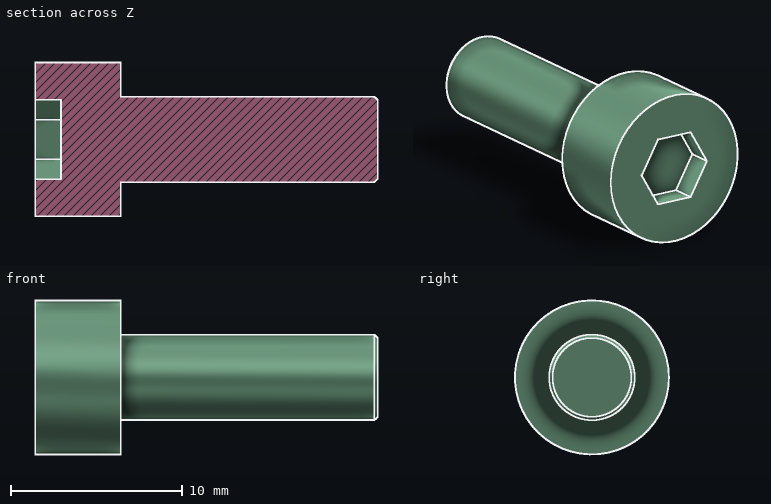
import cadquery as cq
import math

head_diameter = 9.0
head_length = 5.0
shank_diameter = 5.0
shank_length = 15.0
tip_chamfer = 0.2
socket_across_flats = 4.0
socket_depth = 1.5


def make_body():
    """Head, shank and tip chamfer as one profile turned about the X axis."""
    head_radius = head_diameter / 2
    shank_radius = shank_diameter / 2
    profile = (
        cq.Workplane("XY")
        .moveTo(-head_length, 0)
        .lineTo(-head_length, head_radius)
        .lineTo(0, head_radius)
        .lineTo(0, shank_radius)
        .lineTo(shank_length - tip_chamfer, shank_radius)
        .lineTo(shank_length, shank_radius - tip_chamfer)
        .lineTo(shank_length, 0)
        .close()
    )
    return profile.revolve(360, (0, 0, 0), (1, 0, 0))


def make_socket():
    """Hexagonal drive socket, with corners on the Y axis and flats facing up and down."""
    across_corners = socket_across_flats / math.cos(math.pi / 6)
    return (
        cq.Workplane("YZ", origin=(-head_length, 0, 0))
        .polygon(6, across_corners)
        .extrude(socket_depth)
    )


result = make_body().cut(make_socket())